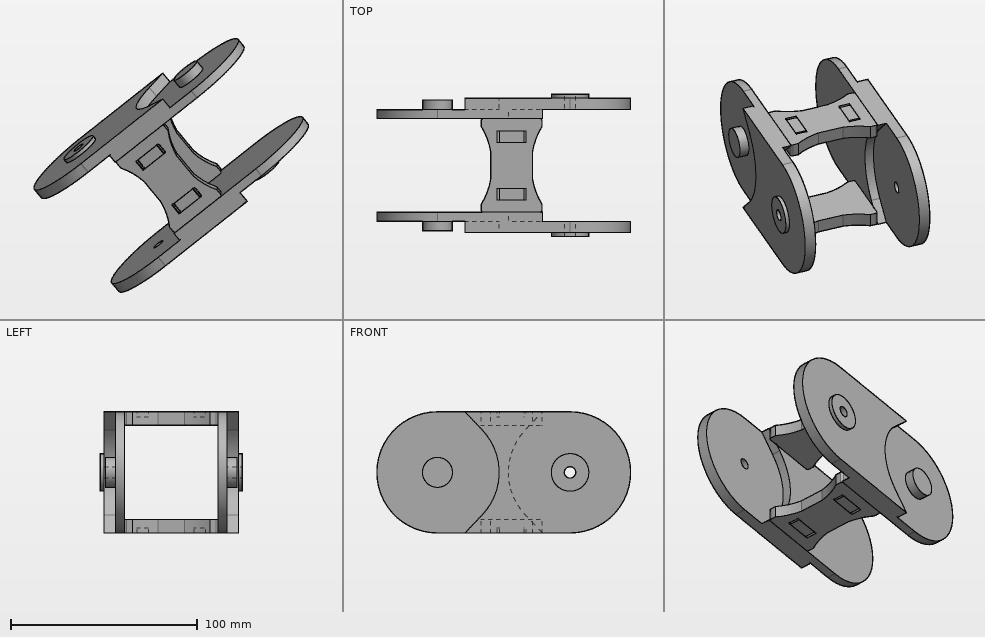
import cadquery as cq
import math

length = 135.9
overall_width = 76.3
height = 65.0
end_radius = height / 2
pivot_x = length / 2 - end_radius

inner_face = 25.0
joint_face = 29.9
outer_face = 36.0
pin_end = 35.1
boss_end = overall_width / 2

pin_diameter = 16.0
boss_diameter = 20.1
hole_diameter = 6.0

clearance_radius = 33.0
tip_offset = 14.7

bar_x = 4.2
bar_width = 32.6
neck_width = 22.4
bar_thickness = 7.3
shoulder_y = 20.8
neck_y = 7.1
waist_radius = 36.7
bar_corner_radius = 1.1

seat_length = 15.5
seat_width = 6.1
seat_y = 15.4
seat_depth = 0.1
slit_width = 1.2
slit_depth = 2.7


def plate_layer(direction, start, end):
    """Plate with a round end at X = -direction and a hollow end at X = +direction."""
    tip_angle = math.atan2(end_radius, tip_offset)
    tip_distance = math.hypot(tip_offset, end_radius)
    tangent_angle = tip_angle - math.acos(clearance_radius / tip_distance)
    tangent_x = pivot_x - clearance_radius * math.cos(tangent_angle)
    tangent_z = clearance_radius * math.sin(tangent_angle)
    tip_x = pivot_x - tip_offset
    return (
        cq.Workplane("XZ", origin=(0, -start, 0))
        .moveTo(direction * tip_x, end_radius)
        .lineTo(-direction * pivot_x, end_radius)
        .threePointArc((-direction * length / 2, 0), (-direction * pivot_x, -end_radius))
        .lineTo(direction * tip_x, -end_radius)
        .lineTo(direction * tangent_x, -tangent_z)
        .threePointArc(
            (direction * (pivot_x - clearance_radius), 0),
            (direction * tangent_x, tangent_z),
        )
        .close()
        .extrude(end - start)
    )


def disc(x, diameter, start, end):
    """Cylinder along -Y between two distances from the middle plane."""
    return cq.Workplane("XZ", origin=(x, -start, 0)).circle(diameter / 2).extrude(end - start)


def make_side_plate():
    """Side plate on the -Y side: inner and outer layer, pin, and boss with its pin hole."""
    inner_layer = plate_layer(1, inner_face, joint_face)
    outer_layer = plate_layer(-1, joint_face, outer_face)
    pin = disc(-pivot_x, pin_diameter, joint_face, pin_end)
    boss = disc(pivot_x, boss_diameter, outer_face, boss_end)
    hole = disc(pivot_x, hole_diameter, joint_face, boss_end)
    return inner_layer.union(outer_layer).union(pin).union(boss).cut(hole)


def strap_seat(y):
    """Volume removed from the upper crossbar for one strap seat."""
    top = cq.Workplane("XY", origin=(bar_x, y, end_radius))
    slit_offset = (seat_length - slit_width) / 2
    pocket = top.rect(seat_length, seat_width).extrude(-seat_depth)
    slits = (
        top.pushPoints([(-slit_offset, 0), (slit_offset, 0)])
        .rect(slit_width, seat_width)
        .extrude(-slit_depth)
    )
    return pocket.union(slits)


def make_crossbar():
    """Upper crossbar: a flat bar with a waist, rounded end corners and two strap seats."""
    half_width = bar_width / 2
    half_neck = neck_width / 2
    bar = (
        cq.Workplane("XY", origin=(bar_x, 0, end_radius - bar_thickness))
        .moveTo(half_width, -inner_face)
        .lineTo(half_width, -shoulder_y)
        .radiusArc((half_neck, -neck_y), waist_radius)
        .lineTo(half_neck, neck_y)
        .radiusArc((half_width, shoulder_y), waist_radius)
        .lineTo(half_width, inner_face)
        .lineTo(-half_width, inner_face)
        .lineTo(-half_width, shoulder_y)
        .radiusArc((-half_neck, neck_y), waist_radius)
        .lineTo(-half_neck, -neck_y)
        .radiusArc((-half_width, -shoulder_y), waist_radius)
        .lineTo(-half_width, -inner_face)
        .close()
        .extrude(bar_thickness)
    )
    bar = bar.faces("<Y or >Y").edges("|Z").fillet(bar_corner_radius)
    for y in (-seat_y, seat_y):
        bar = bar.cut(strap_seat(y))
    return bar


side_plate = make_side_plate()
opposite_side_plate = side_plate.mirror("XZ")
upper_crossbar = make_crossbar()
lower_crossbar = upper_crossbar.mirror("XY")

result = cq.Compound.makeCompound([
    side_plate.val(),
    opposite_side_plate.val(),
    upper_crossbar.val(),
    lower_crossbar.val(),
])